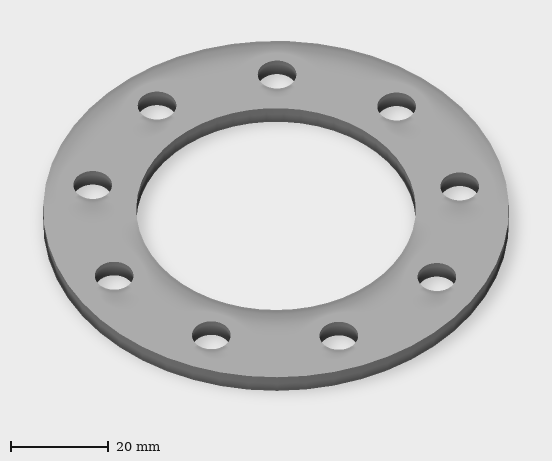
import cadquery as cq

outer_diameter = 95.25
bore_diameter = 57.15
thickness = 4.0

hole_count = 9
hole_diameter = 7.9
bolt_circle_radius = (outer_diameter + bore_diameter) / 4
first_hole_angle = 90.0

ring = (
    cq.Workplane("XY")
    .circle(outer_diameter / 2)
    .circle(bore_diameter / 2)
    .extrude(thickness)
)

bolt_holes = (
    cq.Workplane("XY")
    .polarArray(bolt_circle_radius, first_hole_angle, 360, hole_count)
    .circle(hole_diameter / 2)
    .extrude(thickness)
)

result = ring.cut(bolt_holes)